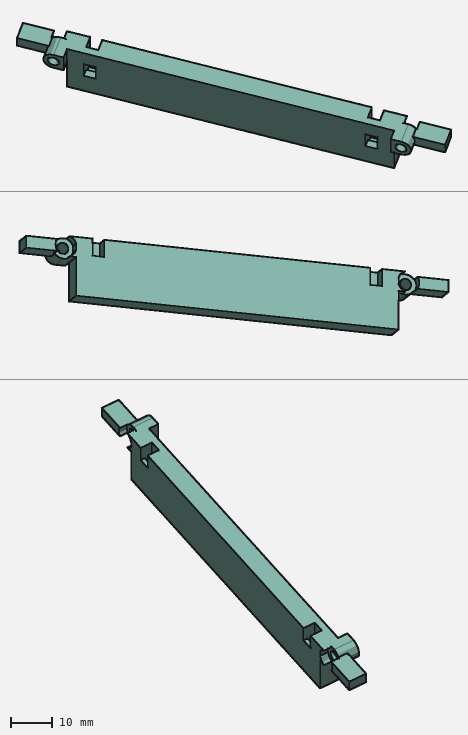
import cadquery as cq

length = 109.5
depth = 8.0
height = 15.0
plate_length = 83.7
plate_thickness = 5.3

lug_radius = 2.57
lug_axis_x = 44.5
lug_axis_z = -lug_radius
hole_diameter = 2.8
relief_radius = 2.7
relief_depth = 2.3

arm_thickness = 4.9
arm_height = 3.1

latch_x = 36.0
latch_width = 3.1
window_top = 4.4
window_bottom = 9.0
notch_depth = 3.3
rear_wall = 1.2
cavity_bottom = 10.5


def block(x_range, front_range, drop_range):
    """Box from X limits, distances forward of the back face and distances below the top."""
    x_min, x_max = x_range
    rear, front = front_range
    top, bottom = drop_range
    box = cq.Workplane("XY").box(x_max - x_min, front - rear, bottom - top, centered=False)
    return box.translate((x_min, -front, -bottom))


def lug_cylinder(radius, cylinder_depth):
    """Cylinder on the lug axis, running forward from the back face."""
    plane = cq.Workplane("XZ").center(lug_axis_x, lug_axis_z)
    return plane.circle(radius).extrude(cylinder_depth)


def end_fitting():
    """Right-hand lug, with its pivot hole and rear relief, and the arm beside it."""
    plate_end = plate_length / 2
    arm_top = lug_radius - arm_height / 2
    lug = lug_cylinder(lug_radius, depth)
    lug = lug.union(block((plate_end, lug_axis_x), (0, depth), (0, 2 * lug_radius)))
    arm = block((lug_axis_x, length / 2), (0, arm_thickness), (arm_top, arm_top + arm_height))
    fitting = lug.union(arm)
    fitting = fitting.cut(lug_cylinder(relief_radius, relief_depth))
    return fitting.cut(lug_cylinder(hole_diameter / 2, depth))


def latch_opening():
    """Right-hand stepped opening, entering from the front, the back and the top."""
    x_range = (latch_x - latch_width / 2, latch_x + latch_width / 2)
    window = block(x_range, (rear_wall, plate_thickness), (window_top, window_bottom))
    notch = block(x_range, (0, notch_depth), (0, window_top))
    cavity = block(x_range, (rear_wall, notch_depth), (window_top, cavity_bottom))
    return window.union(notch).union(cavity)


def both_ends(shape):
    """The shape together with its mirror image at the other end."""
    return shape.union(shape.mirror("YZ"))


plate = block((-plate_length / 2, plate_length / 2), (0, plate_thickness), (0, height))
result = plate.union(both_ends(end_fitting())).cut(both_ends(latch_opening()))